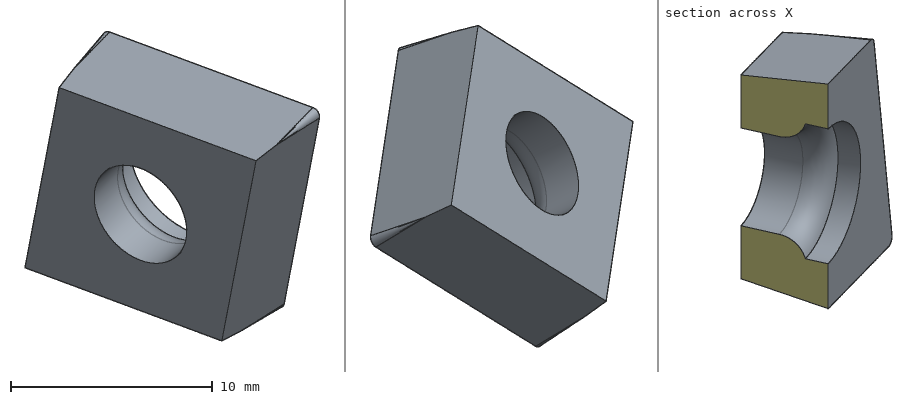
import cadquery as cq
import math

overall_length = 14.98
thickness = 4.76
acute_angle = 80.0
relief_angle = 7.0
nose_radius = 0.4
bore_diameter = 5.5
counterbore_diameter = 7.6
bore_depth = 2.1
lip_radius = 1.5

cos_acute = math.cos(math.radians(acute_angle))
sin_acute = math.sin(math.radians(acute_angle))
tan_relief = math.tan(math.radians(relief_angle))
length_per_height = (1 + cos_acute) / sin_acute
nose_center_height = (overall_length - 2 * nose_radius) / length_per_height
large_face_height = nose_center_height + 2 * nose_radius
nose_depth = nose_radius / tan_relief
half_thickness = thickness / 2


def rhombus_corners(height):
    """Corners (x, z) of a centred rhombus whose opposite sides are `height` apart."""
    side = height / sin_acute
    lean = side * cos_acute
    acute = ((side + lean) / 2, height / 2)
    obtuse = ((side - lean) / 2, -height / 2)
    return [acute, obtuse, (-acute[0], -acute[1]), (-obtuse[0], -obtuse[1])]


def large_face_plane():
    """Plane of the large +Y face, with its normal towards the small face."""
    return cq.Workplane("XZ", origin=(0, half_thickness, 0))


def sharp_body():
    """Rhombic plate with leaning flanks and sharp corners."""
    corners = rhombus_corners(large_face_height)
    return large_face_plane().polyline(corners).close().extrude(thickness, taper=relief_angle)


def round_noses(body):
    """Replace each sharp corner by a cone that fades to a point at the nose depth."""
    tips = rhombus_corners(large_face_height)
    centers = rhombus_corners(nose_center_height)
    for index, (tip, center) in enumerate(zip(tips, centers)):
        before, after = tips[index - 1], tips[(index + 1) % len(tips)]
        tangent_length = math.sqrt(math.dist(tip, center) ** 2 - nose_radius ** 2)
        tangent_points = []
        for neighbour in (before, after):
            share = tangent_length / math.dist(tip, neighbour)
            tangent_points.append(tuple(t + share * (n - t) for t, n in zip(tip, neighbour)))
        kite = [center, tangent_points[0], tip, tangent_points[1]]
        corner = large_face_plane().polyline(kite).close().extrude(nose_depth)
        base_center = cq.Vector(center[0], half_thickness, center[1])
        cone = cq.Solid.makeCone(nose_radius, 0, nose_depth, base_center, cq.Vector(0, -1, 0))
        body = body.cut(corner).union(corner.intersect(cq.Workplane(cone)))
    return body


def hole():
    """Stepped hole along Y: bore, convex lip, counterbore open to the large face."""
    bore_radius = bore_diameter / 2
    counterbore_radius = counterbore_diameter / 2
    lip_start = -half_thickness + bore_depth
    lip_center_radius = bore_radius + lip_radius
    lip_sweep = math.acos((lip_center_radius - counterbore_radius) / lip_radius)

    def lip_point(angle):
        return (
            lip_center_radius - lip_radius * math.cos(angle),
            lip_start + lip_radius * math.sin(angle),
        )

    return (
        cq.Workplane("XY")
        .moveTo(0, -half_thickness)
        .lineTo(bore_radius, -half_thickness)
        .lineTo(bore_radius, lip_start)
        .threePointArc(lip_point(lip_sweep / 2), lip_point(lip_sweep))
        .lineTo(counterbore_radius, half_thickness)
        .lineTo(0, half_thickness)
        .close()
        .revolve(360, (0, 0, 0), (0, 1, 0))
    )


result = round_noses(sharp_body()).cut(hole())